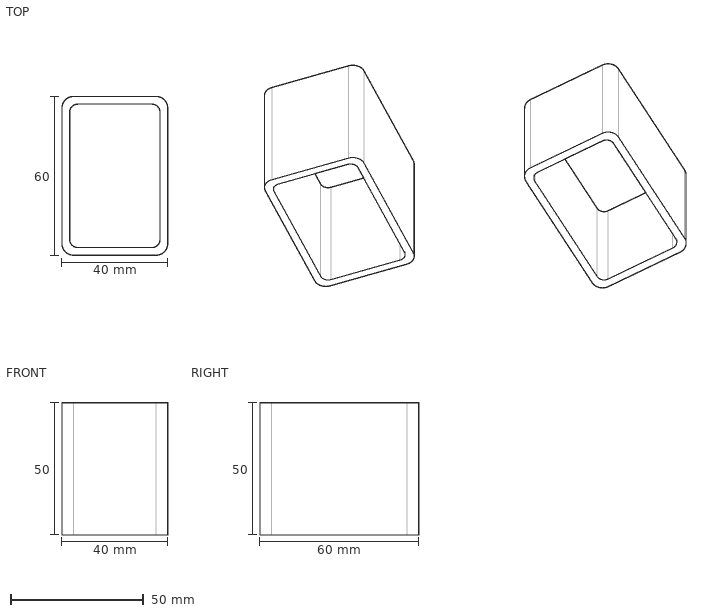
import cadquery as cq

width = 40.0
depth = 60.0
height = 50.0
wall = 3.0
outer_radius = 4.5
inner_radius = 3.0


def rounded_block(size_x, size_y, corner_radius):
    """Full-height block, centred on the origin, with rounded upright edges."""
    return cq.Workplane("XY").box(size_x, size_y, height).edges("|Z").fillet(corner_radius)


outer_body = rounded_block(width, depth, outer_radius)
bore = rounded_block(width - 2 * wall, depth - 2 * wall, inner_radius)

result = outer_body.cut(bore)